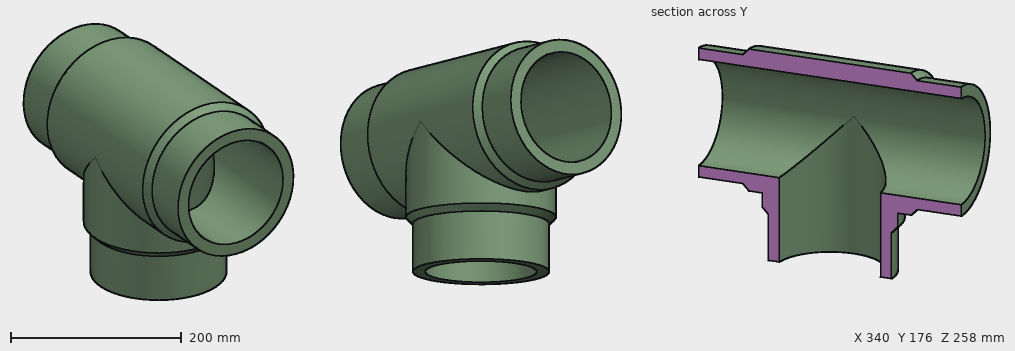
import cadquery as cq

spigot_diameter = 160.0
bore_diameter = 130.8
body_diameter = 176.0
end_distance = 170.0
spigot_length = 57.0

spigot_radius = spigot_diameter / 2
bore_radius = bore_diameter / 2
body_radius = body_diameter / 2
shoulder_height = body_radius - spigot_radius
body_end = end_distance - spigot_length
shoulder_start = body_end - shoulder_height


def make_arm():
    """Solid arm from the tee centre along +Z: thick body, 45 degree shoulder, spigot."""
    return (
        cq.Workplane("XZ")
        .moveTo(0, 0)
        .lineTo(body_radius, 0)
        .lineTo(body_radius, shoulder_start)
        .lineTo(spigot_radius, body_end)
        .lineTo(spigot_radius, end_distance)
        .lineTo(0, end_distance)
        .close()
        .revolve(360, (0, 0), (0, 1))
    )


def make_bore():
    """Bore of one arm from the tee centre along +Z."""
    return cq.Workplane("XY").circle(bore_radius).extrude(end_distance)


def tilt(shape, angle):
    """Swing an arm or bore about the Y axis through the tee centre."""
    return shape.rotate((0, 0, 0), (0, 1, 0), angle)


def make_tee(make_piece):
    """Join a straight run along X with a branch pointing down -Z."""
    run = tilt(make_piece(), 90).union(tilt(make_piece(), -90)).clean()
    branch = tilt(make_piece(), 180)
    return run.union(branch)


result = make_tee(make_arm).cut(make_tee(make_bore)).clean()